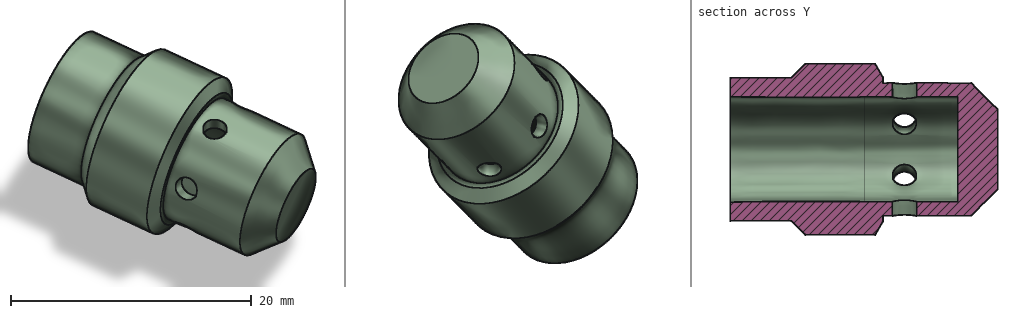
import cadquery as cq

total_length = 22.23
collar_start = 6.25
collar_end = 12.05
nozzle_start = 12.7
nose_start = 20.03

sleeve_diameter = 11.94
collar_diameter = 14.27
collar_rear_diameter = 12.0
nozzle_diameter = 11.07

sleeve_end = collar_start - (collar_diameter - sleeve_diameter) / 2
nose_tip_diameter = nozzle_diameter - 2 * (total_length - nose_start)

bore_mouth_diameter = 8.74
bore_diameter = 8.67
taper_depth = 11.12
bore_depth = 18.9

hole_diameter = 1.98
hole_count = 6
hole_position = 14.47


def outer_body():
    """Turned outside shape, revolved about the X axis."""
    return (
        cq.Workplane("XY")
        .moveTo(0, 0)
        .lineTo(0, sleeve_diameter / 2)
        .lineTo(sleeve_end, sleeve_diameter / 2)
        .lineTo(collar_start, collar_diameter / 2)
        .lineTo(collar_end, collar_diameter / 2)
        .lineTo(nozzle_start, collar_rear_diameter / 2)
        .lineTo(nozzle_start, nozzle_diameter / 2)
        .lineTo(nose_start, nozzle_diameter / 2)
        .lineTo(total_length, nose_tip_diameter / 2)
        .lineTo(total_length, 0)
        .close()
        .revolve(360, (0, 0, 0), (1, 0, 0))
    )


def bore():
    """Blind bore with a tapered mouth and a flat floor, revolved about the X axis."""
    return (
        cq.Workplane("XY")
        .moveTo(0, 0)
        .lineTo(0, bore_mouth_diameter / 2)
        .lineTo(taper_depth, bore_diameter / 2)
        .lineTo(bore_depth, bore_diameter / 2)
        .lineTo(bore_depth, 0)
        .close()
        .revolve(360, (0, 0, 0), (1, 0, 0))
    )


def radial_hole(angle):
    """Cutter from the axis out through the wall, turned about the X axis from +Z."""
    return (
        cq.Workplane("XY")
        .center(hole_position, 0)
        .circle(hole_diameter / 2)
        .extrude(nozzle_diameter)
        .rotate((0, 0, 0), (1, 0, 0), angle)
    )


result = outer_body().cut(bore())
for index in range(hole_count):
    result = result.cut(radial_hole(index * 360 / hole_count))